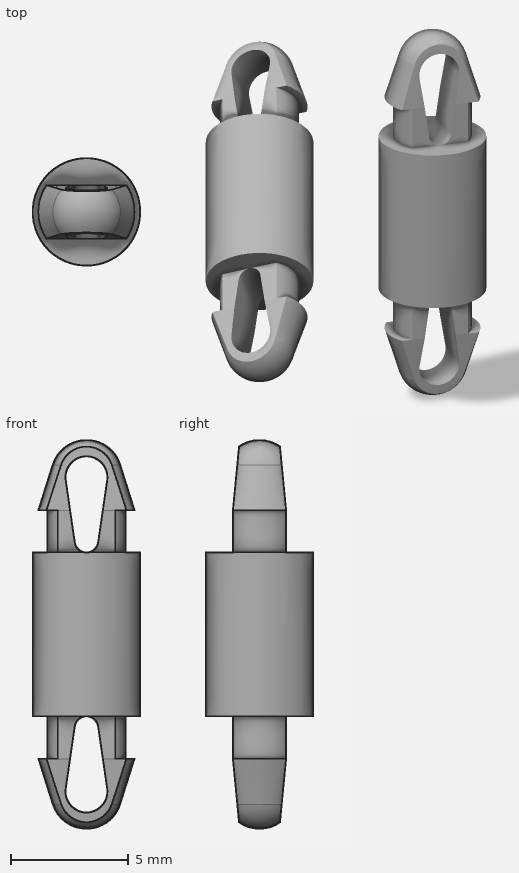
import cadquery as cq
import math


body_diameter = 4.6
body_length = 7.0
overall_length = 16.6

clip_width = 2.28

neck_radius = 1.68
neck_length = 1.8

dome_radius = 1.51
cone_angle = math.radians(17.5)

flat_angle = math.radians(5.5)

slot_top_radius = 0.89
slot_bottom_radius = 0.5
slot_roof = 0.7

body_top = body_length / 2
barb_base = body_top + neck_length
tip = overall_length / 2
dome_center = tip - dome_radius


def make_body():
    return cq.Workplane("XY").workplane(offset=-body_top).circle(body_diameter / 2).extrude(body_length)


def make_neck():
    """Round neck with two flats facing +Y and -Y."""
    neck = cq.Workplane("XY").workplane(offset=body_top).circle(neck_radius).extrude(neck_length)
    flats = cq.Workplane("XY").box(body_diameter, clip_width, overall_length)
    return neck.intersect(flats)


def make_barb():
    """Domed cone, trimmed by two side flats that lean inward toward the tip."""
    tangent_radius = dome_radius * math.cos(cone_angle)
    tangent_height = dome_center + dome_radius * math.sin(cone_angle)
    base_radius = tangent_radius + (tangent_height - barb_base) * math.tan(cone_angle)
    mid_angle = (cone_angle + math.pi / 2) / 2
    dome_middle = (dome_radius * math.cos(mid_angle), dome_center + dome_radius * math.sin(mid_angle))
    barb = (
        cq.Workplane("XZ")
        .moveTo(0, barb_base)
        .lineTo(base_radius, barb_base)
        .lineTo(tangent_radius, tangent_height)
        .threePointArc(dome_middle, (0, tip))
        .close()
        .revolve(360, (0, 0, 0), (0, 1, 0))
    )

    base_half_width = clip_width / 2
    tip_half_width = base_half_width - (tip - barb_base) * math.tan(flat_angle)
    wedge = (
        cq.Workplane("YZ")
        .polyline([
            (-base_half_width, barb_base),
            (base_half_width, barb_base),
            (tip_half_width, tip),
            (-tip_half_width, tip),
        ])
        .close()
        .extrude(body_diameter / 2, both=True)
    )
    return barb.intersect(wedge)


def make_slot():
    """Two arcs joined by their common tangent lines, wide end toward the tip."""
    top_center = tip - slot_roof - slot_top_radius
    bottom_center = body_top + slot_bottom_radius
    taper = math.asin((slot_top_radius - slot_bottom_radius) / (top_center - bottom_center))
    top_x = slot_top_radius * math.cos(taper)
    top_z = top_center - slot_top_radius * math.sin(taper)
    bottom_x = slot_bottom_radius * math.cos(taper)
    bottom_z = bottom_center - slot_bottom_radius * math.sin(taper)
    return (
        cq.Workplane("XZ")
        .moveTo(bottom_x, bottom_z)
        .lineTo(top_x, top_z)
        .threePointArc((0, tip - slot_roof), (-top_x, top_z))
        .lineTo(-bottom_x, bottom_z)
        .threePointArc((0, body_top), (bottom_x, bottom_z))
        .close()
        .extrude(body_diameter / 2, both=True)
    )


upper_clip = make_neck().union(make_barb()).cut(make_slot())
lower_clip = upper_clip.mirror("XY")
result = make_body().union(upper_clip).union(lower_clip)